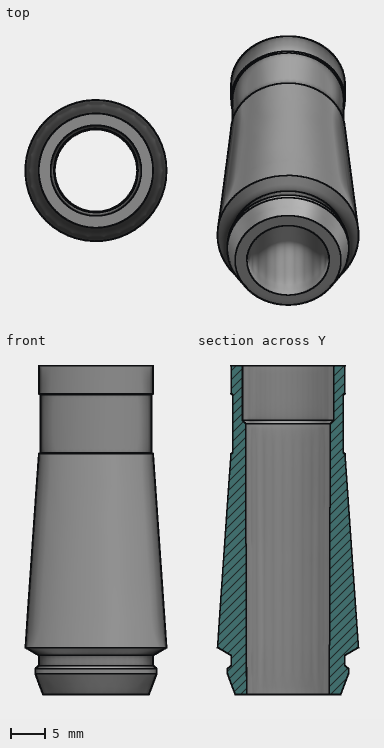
import cadquery as cq

total_height = 47.9
bead_bottom = 3.05
bead_top = 3.8
groove_bottom = 4.2
groove_top = 5.7
flare_height = 6.85
shoulder_height = 35.05
collar_length = 4.1
step_bevel = 0.15

nose_radius = 7.7
bead_radius = 8.85
groove_radius = 8.35
flare_radius = 10.3
collar_radius = 16.6 / 2
shoulder_radius = 8.35
neck_radius = 8.1

nose_bore_radius = 6.0
socket_radius = 6.6
socket_depth = 8.0
seat_length = 0.5
seat_bore_radius = socket_radius - seat_length

collar_bottom = total_height - collar_length
seat_top = total_height - socket_depth
seat_bottom = seat_top - seat_length

outside = [
    (nose_radius, 0),
    (bead_radius, bead_bottom),
    (bead_radius, bead_top),
    (groove_radius, groove_bottom),
    (groove_radius, groove_top),
    (flare_radius, flare_height),
    (shoulder_radius, shoulder_height),
    (neck_radius, shoulder_height + step_bevel),
    (neck_radius, collar_bottom - step_bevel),
    (collar_radius, collar_bottom),
    (collar_radius, total_height),
]
bore = [
    (socket_radius, total_height),
    (socket_radius, seat_top),
    (seat_bore_radius, seat_bottom),
    (nose_bore_radius, 0),
]

result = (
    cq.Workplane("XZ")
    .polyline(outside + bore)
    .close()
    .revolve(360, (0, 0), (0, 1))
)